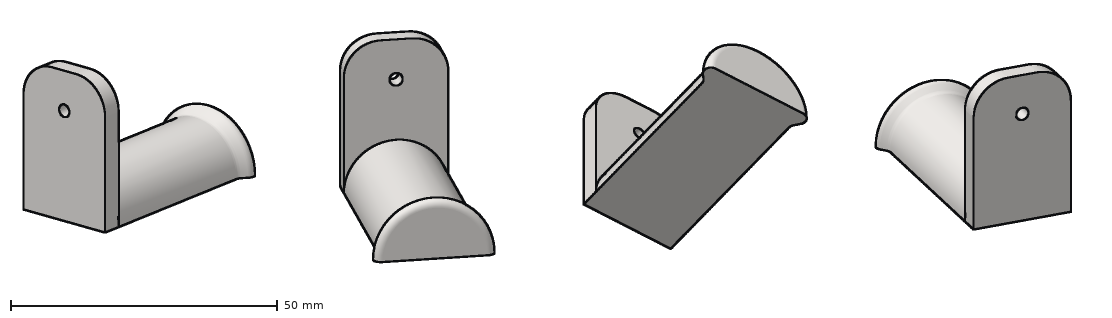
import cadquery as cq
import math

total_length = 43.0
plate_width = 20.0
plate_height = 30.0
plate_thickness = 4.0
corner_radius = 7.0
hole_diameter = 2.5
hole_height = 22.0

post_radius = plate_width / 2
rim_radius = 11.6
bead_radius = 1.5
neck_radius = 1.5
cone_angle = math.radians(40)


def make_plate():
    """Upright plate with rounded top corners and a small through hole."""
    plate = (
        cq.Workplane("XY")
        .box(plate_width, plate_thickness, plate_height, centered=(True, False, False))
        .edges("|Y and >Z")
        .fillet(corner_radius)
    )
    hole = (
        cq.Workplane("XZ")
        .center(0, hole_height)
        .circle(hole_diameter / 2)
        .extrude(-plate_thickness)
    )
    return plate.cut(hole)


def arc_point(center, radius, angle):
    """Point (radial, axial) on an arc; the angle is measured from the radial direction."""
    return (
        center[0] + radius * math.cos(angle),
        center[1] + radius * math.sin(angle),
    )


def make_post():
    """Half-revolved post: cylinder, concave neck, cone and convex bead, all tangent."""
    bead_center = (rim_radius - bead_radius, total_length - bead_radius)
    bead_start = arc_point(bead_center, bead_radius, -cone_angle)
    bead_crest = arc_point(bead_center, bead_radius, 0)
    bead_end = arc_point(bead_center, bead_radius, math.pi / 2)

    neck_center_radial = post_radius + neck_radius
    neck_end_radial = neck_center_radial - neck_radius * math.cos(cone_angle)
    cone_length = (bead_start[0] - neck_end_radial) / math.tan(cone_angle)
    neck_end_axial = bead_start[1] - cone_length
    neck_center = (
        neck_center_radial,
        neck_end_axial - neck_radius * math.sin(cone_angle),
    )
    neck_start = arc_point(neck_center, neck_radius, math.pi)
    neck_middle = arc_point(neck_center, neck_radius, math.pi - cone_angle / 2)
    neck_end = (neck_end_radial, neck_end_axial)

    return (
        cq.Workplane("XY")
        .moveTo(0, plate_thickness)
        .lineTo(post_radius, plate_thickness)
        .lineTo(*neck_start)
        .threePointArc(neck_middle, neck_end)
        .lineTo(*bead_start)
        .threePointArc(bead_crest, bead_end)
        .lineTo(0, total_length)
        .close()
        .revolve(180, (0, 0, 0), (0, -1, 0))
    )


result = make_plate().union(make_post())